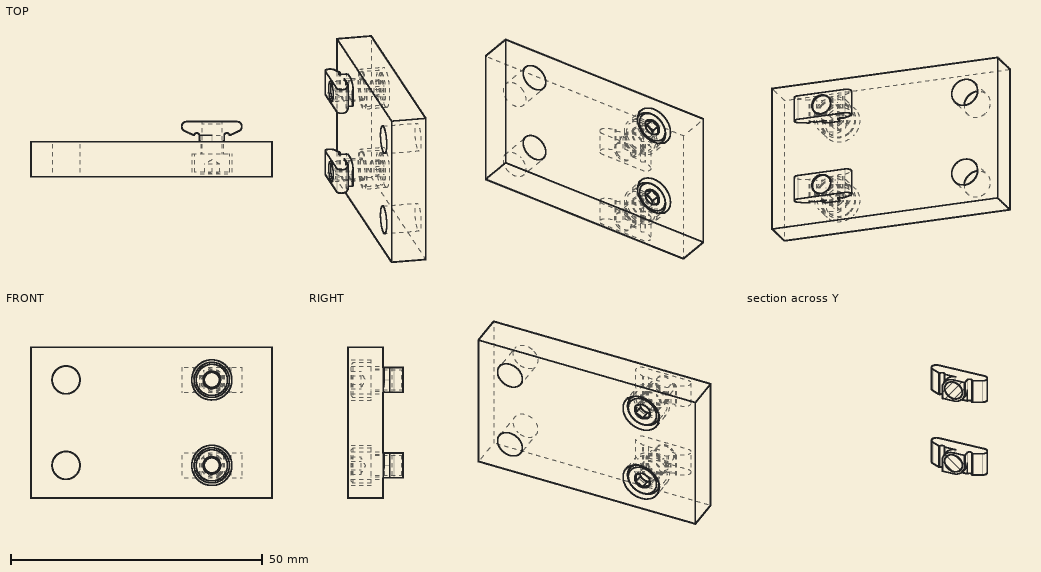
import cadquery as cq
import math


plate_width = 48.0
plate_thickness = 7.0
plate_height = 30.0
hole_spacing_x = 29.0
hole_spacing_z = 17.0
hole_left_inset = 7.0
hole_bottom_inset = 6.5
plain_hole_diameter = 5.5
counterbore_diameter = 8.0
clearance_hole_diameter = 4.5

thread_diameter = 4.0
head_diameter = 7.0
head_height = 4.0
head_recess = 0.6
head_edge_chamfer = 0.4
shank_length = 6.0
socket_sides = 6
socket_across_flats = 3.0
socket_depth = 2.0
socket_tip_angle = 120.0
socket_mouth_angle = 90.0

nut_half_width = 6.0
nut_height = 4.0
nut_length = 5.0
nut_side_radius = 1.0
wing_slope = math.radians(25.0)
wing_height = 1.3
groove_width = 1.0
groove_depth = 0.4
neck_half_width = 2.5
neck_chamfer = 0.25

counterbore_depth = head_height + head_recess
plain_hole_x = hole_left_inset - plate_width / 2
screw_x = plain_hole_x + hole_spacing_x
lower_row_z = hole_bottom_inset - plate_height / 2
row_heights = [lower_row_z, lower_row_z + hole_spacing_z]


def rod(diameter, length, start_y=0.0):
    """Cylinder along +Y on the Y axis, beginning at start_y."""
    return cq.Workplane("XZ", origin=(0, start_y, 0)).circle(diameter / 2).extrude(-length)


def make_plate():
    """Plate with two plain holes and two counterbored screw holes."""
    plate = cq.Workplane("XY").box(
        plate_width, plate_thickness, plate_height, centered=(True, False, True)
    )
    plain_hole = rod(plain_hole_diameter, plate_thickness)
    screw_hole = rod(clearance_hole_diameter, plate_thickness).union(
        rod(counterbore_diameter, counterbore_depth)
    )
    for z in row_heights:
        plate = plate.cut(plain_hole.translate((plain_hole_x, 0, z)))
        plate = plate.cut(screw_hole.translate((screw_x, 0, z)))
    return plate


def make_socket():
    """Hexagonal socket with a conical bottom and a chamfered mouth."""
    flat_radius = socket_across_flats / 2
    corner_radius = flat_radius / math.cos(math.pi / socket_sides)
    tip_depth = flat_radius / math.tan(math.radians(socket_tip_angle / 2))
    mouth_cone_depth = corner_radius / math.tan(math.radians(socket_mouth_angle / 2))

    hexagon = (
        cq.Workplane("XZ", origin=(0, head_recess, 0))
        .polygon(socket_sides, 2 * corner_radius)
        .extrude(-socket_depth)
        .rotate((0, 0, 0), (0, 1, 0), 180 / socket_sides)
    )
    mouth = cq.Solid.makeCone(
        corner_radius, 0, mouth_cone_depth, pnt=cq.Vector(0, head_recess, 0), dir=cq.Vector(0, 1, 0)
    )
    tip = cq.Solid.makeCone(
        flat_radius, 0, tip_depth, pnt=cq.Vector(0, head_recess + socket_depth, 0), dir=cq.Vector(0, 1, 0)
    )
    return hexagon.union(cq.Workplane(mouth)).union(cq.Workplane(tip))


def make_screw():
    """Socket head screw on the Y axis, its head sunk below the front face."""
    head = rod(head_diameter, head_height, head_recess).faces("<Y").edges().chamfer(head_edge_chamfer)
    shank = rod(thread_diameter, shank_length, counterbore_depth)
    return head.union(shank).cut(make_socket())


def make_nut():
    """T-slot nut on the Y axis, its neck standing on the back face of the plate."""
    side_centre_x = nut_half_width - nut_side_radius
    side_centre_y = nut_height - nut_side_radius
    slope_start_x = side_centre_x + nut_side_radius * math.sin(wing_slope)
    slope_start_y = side_centre_y - nut_side_radius * math.cos(wing_slope)
    wing_tip_x = slope_start_x - (slope_start_y - wing_height) / math.tan(wing_slope)
    groove_x = neck_half_width + groove_width / 2

    half_profile = (
        cq.Workplane("XY")
        .moveTo(0, 0)
        .lineTo(neck_half_width - neck_chamfer, 0)
        .lineTo(neck_half_width, neck_chamfer)
        .lineTo(neck_half_width, wing_height)
        .threePointArc((groove_x, wing_height + groove_depth), (neck_half_width + groove_width, wing_height))
        .lineTo(wing_tip_x, wing_height)
        .lineTo(slope_start_x, slope_start_y)
        .threePointArc((nut_half_width, side_centre_y), (side_centre_x, nut_height))
        .lineTo(0, nut_height)
        .close()
        .extrude(nut_length / 2, both=True)
    )
    nut = half_profile.union(half_profile.mirror("YZ"))

    quarter = cq.Workplane("XY").box(
        neck_half_width, wing_height, nut_length / 2, centered=False
    ).cut(rod(2 * neck_half_width, wing_height))
    nut = nut.cut(quarter.mirror("YZ")).cut(quarter.mirror("XY"))
    return nut.cut(rod(thread_diameter, nut_height)).translate((0, plate_thickness, 0))


plate = make_plate()
screw = make_screw()
nut = make_nut()
screws = [screw.translate((screw_x, 0, z)) for z in row_heights]
nuts = [nut.translate((screw_x, 0, z)) for z in row_heights]

result = cq.Compound.makeCompound([plate.val(), *[body.val() for body in screws + nuts]])